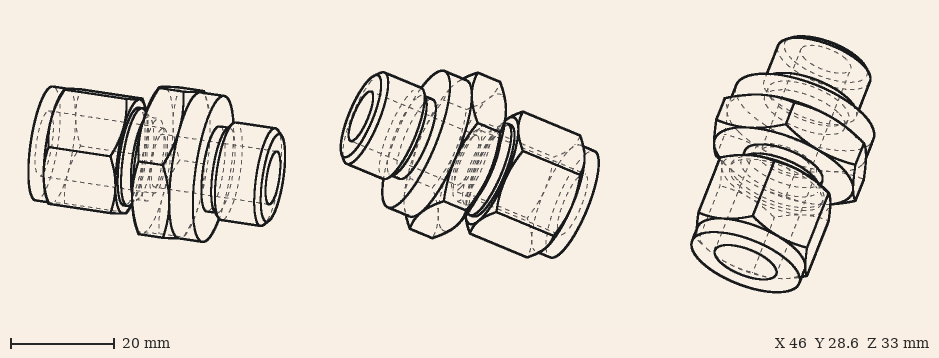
import cadquery as cq
import math

nut_start = 3.1
nut_end = 17.5
shoulder_end = 18.2
neck_start = 19.7
body_hex_start = 21.8
body_hex_end = 29.25
collar_end = 33.95
relief_end = 35.95
stud_start = 37.05
stud_chamfer_start = 44.95
length = 45.95

nut_flats = 22.3
body_flats = 28.55
stud_diameter = 19.12
neck_diameter = 16.1
relief_diameter = 16.65
tube_diameter = 12.75
bore_diameter = 10.35
tube_socket_depth = 23.0

hex_chamfer_angle = 30.0


def revolve_profile(points):
    """Revolve (x, radius) points, closed along the axis, about X."""
    closed = [(points[0][0], 0)] + points + [(points[-1][0], 0)]
    return cq.Workplane("XY").polyline(closed).close().revolve(360, (0, 0, 0), (1, 0, 0))


def cylinder(start, end, diameter):
    radius = diameter / 2
    return revolve_profile([(start, radius), (end, radius)])


def chamfered_hex(start, end, flats):
    """Hexagon with corners up and down, both ends chamfered down to the flats."""
    corner_radius = flats / math.sqrt(3)
    inner_radius = flats / 2
    chamfer = (corner_radius - inner_radius) * math.tan(math.radians(hex_chamfer_angle))
    prism = (
        cq.Workplane("YZ", origin=(start, 0, 0))
        .transformed(rotate=(0, 0, 90))
        .polygon(6, 2 * corner_radius)
        .extrude(end - start)
    )
    envelope = revolve_profile([
        (start, inner_radius),
        (start + chamfer, corner_radius),
        (end - chamfer, corner_radius),
        (end, inner_radius),
    ])
    return prism.intersect(envelope)


def turned_neck():
    """Shoulder beside the nut, tapering to the neck that meets the body hexagon."""
    return revolve_profile([
        (nut_end, stud_diameter / 2),
        (shoulder_end, stud_diameter / 2),
        (neck_start, neck_diameter / 2),
        (body_hex_start, neck_diameter / 2),
    ])


def end_stud():
    """Relief groove and stud with a 45 degree chamfer at its free end."""
    stud_radius = stud_diameter / 2
    end_chamfer = length - stud_chamfer_start
    return revolve_profile([
        (collar_end, relief_diameter / 2),
        (relief_end, relief_diameter / 2),
        (stud_start, stud_radius),
        (stud_chamfer_start, stud_radius),
        (length, stud_radius - end_chamfer),
    ])


result = (
    cylinder(0, nut_start, nut_flats)
    .union(chamfered_hex(nut_start, nut_end, nut_flats))
    .union(turned_neck())
    .union(chamfered_hex(body_hex_start, body_hex_end, body_flats))
    .union(cylinder(body_hex_end, collar_end, body_flats))
    .union(end_stud())
    .cut(cylinder(0, length, bore_diameter))
    .cut(cylinder(0, tube_socket_depth, tube_diameter))
)